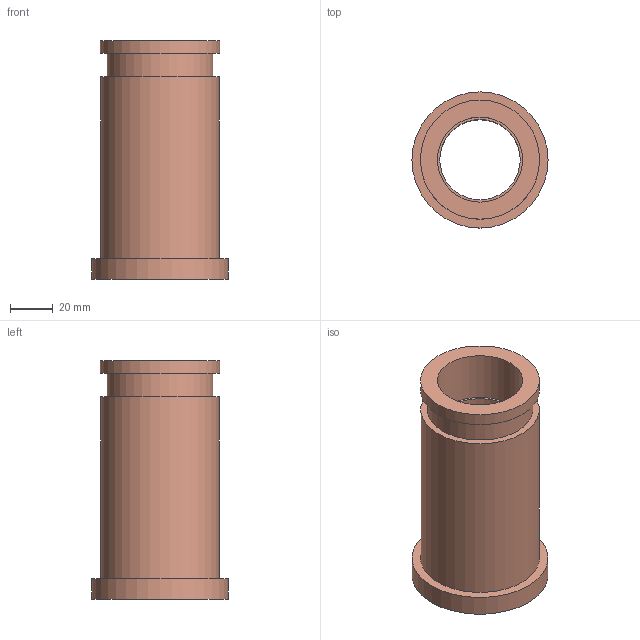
import cadquery as cq

total_height = 111.125
flange_diameter = 63.5
flange_height = 9.525
body_diameter = 55.3

rim_diameter = 55.5625
rim_height = 5.75
neck_diameter = 49.2125
neck_height = 11.0

bore_diameter = 37.5
mouth_diameter = 39.6875
mouth_depth = 23.8125

rim_bottom = total_height - rim_height
neck_bottom = rim_bottom - neck_height
mouth_bottom = total_height - mouth_depth


def cylinder(diameter, bottom, top):
    """Vertical cylinder on the Z axis between two levels."""
    return cq.Workplane("XY").workplane(offset=bottom).circle(diameter / 2).extrude(top - bottom)


def outer_sleeve():
    """Solid stack of flange, body, neck and rim."""
    flange = cylinder(flange_diameter, 0, flange_height)
    body = cylinder(body_diameter, flange_height, neck_bottom)
    neck = cylinder(neck_diameter, neck_bottom, rim_bottom)
    rim = cylinder(rim_diameter, rim_bottom, total_height)
    return flange.union(body).union(neck).union(rim)


def stepped_bore():
    """Through bore with its wider mouth at the top."""
    bore = cylinder(bore_diameter, 0, mouth_bottom)
    mouth = cylinder(mouth_diameter, mouth_bottom, total_height)
    return bore.union(mouth)


result = outer_sleeve().cut(stepped_bore())